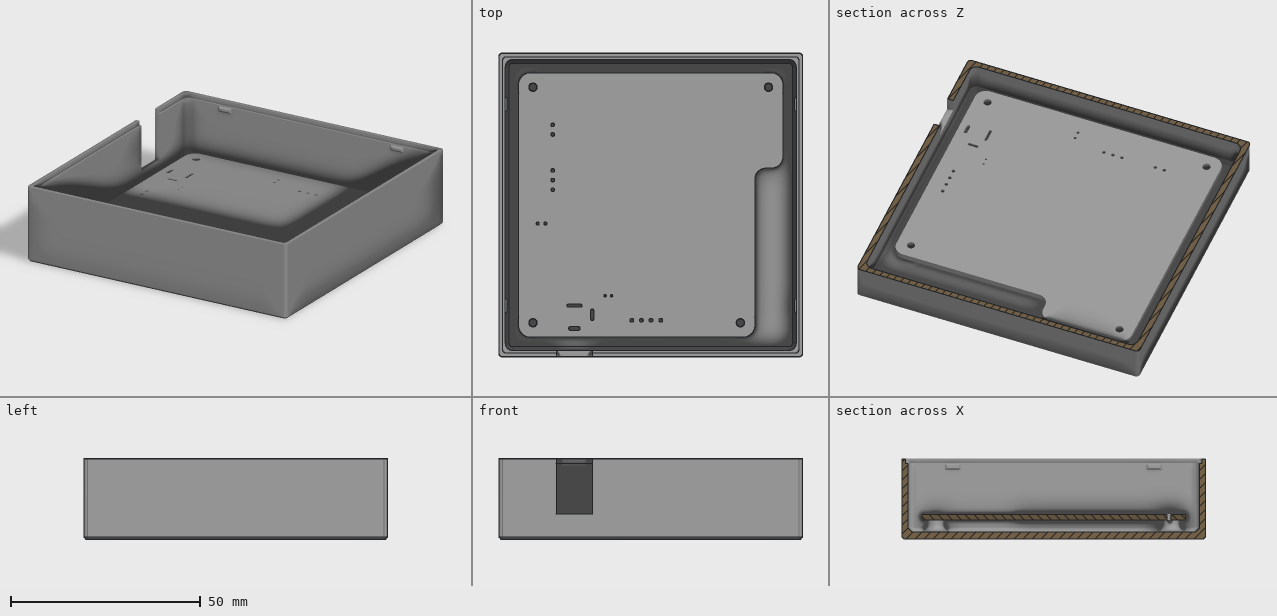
import cadquery as cq
SIZE = 80.0
HEIGHT = 21.2
CORNER_RADIUS = 1.0
BASE_CHAMFER = 0.6

WALL = 1.7
FLOOR = 2.0
CAVITY_RADIUS = 2.0
FLOOR_CHAMFER = 1.0

RIM = 1.0
RIM_DEPTH = 1.2
RIM_RADIUS = 1.0
LEDGE_Z = HEIGHT - RIM_DEPTH

PORT_X = -20.1
PORT_WIDTH = 9.5
PORT_Z = 6.7
PORT_CUT_DEPTH = 4.0

SNAP_LENGTH = 4.0
SNAP_HEIGHT = 1.6
SNAP_DEPTH = 0.5
SNAP_TAPER = 45
SNAP_Y = 26.5
SNAP_GAP = 0.2
SNAP_Z = LEDGE_Z - SNAP_GAP - SNAP_HEIGHT / 2

BOARD_Z = 5.0
BOARD_THICKNESS = 1.6
BOARD_HALF = 34.8
BOARD_RADIUS = 3.0
BOARD_STEP_X = 27.4
BOARD_STEP_Y = 9.7

MOUNT_HOLE_DIAMETER = 2.2
MOUNT_OFFSET = 31.0
MOUNT_STEP_X = 23.6
MOUNT_POINTS = [
    (-MOUNT_OFFSET, -MOUNT_OFFSET),
    (-MOUNT_OFFSET, MOUNT_OFFSET),
    (MOUNT_OFFSET, MOUNT_OFFSET),
    (MOUNT_STEP_X, -MOUNT_OFFSET),
]

STANDOFF_RADIUS = 2.0
STANDOFF_FLARE = 2.0
STANDOFF_ROOT = 0.5
PILOT_DIAMETER = 2.0

PITCH = 2.54
LEAD_ROWS = [
    ((-25.8, 21.1), (0, -PITCH), 2, 0.95),
    ((-25.8, 9.1), (0, -PITCH), 3, 0.95),
    ((-29.75, -4.9), (2.0, 0), 2, 0.8),
    ((-12.0, -23.9), (1.7, 0), 2, 0.6),
    ((-5.0, -30.35), (PITCH, 0), 4, 1.0),
]

TAB_SLOTS = [
    ((PORT_X, -26.5), 4.0, 0.8, 0),
    ((PORT_X, -32.5), 3.0, 1.0, 0),
    ((-15.4, -28.9), 3.0, 0.8, 90),
]


def square_block(side, bottom, height, radius):
    """Square block centred on Z with rounded vertical edges."""
    block = cq.Workplane("XY").workplane(offset=bottom)
    block = block.box(side, side, height, centered=(True, True, False))
    return block.edges("|Z").fillet(radius)


def make_shell():
    outside = square_block(SIZE, 0, HEIGHT, CORNER_RADIUS)
    outside = outside.faces("<Z").edges().chamfer(BASE_CHAMFER)
    cavity = square_block(SIZE - 2 * WALL, FLOOR, HEIGHT, CAVITY_RADIUS)
    cavity = cavity.faces("<Z").edges().chamfer(FLOOR_CHAMFER)
    rim_step = square_block(SIZE - 2 * RIM, LEDGE_Z, HEIGHT, RIM_RADIUS)
    return outside.cut(cavity).cut(rim_step)


def make_standoff(x, y):
    """Round post with a concave flare at its foot."""
    foot_radius = STANDOFF_RADIUS + STANDOFF_FLARE
    profile = (
        cq.Workplane("XZ")
        .moveTo(0, FLOOR - STANDOFF_ROOT)
        .lineTo(foot_radius, FLOOR - STANDOFF_ROOT)
        .lineTo(foot_radius, FLOOR)
        .radiusArc((STANDOFF_RADIUS, FLOOR + STANDOFF_FLARE), STANDOFF_FLARE)
        .lineTo(STANDOFF_RADIUS, BOARD_Z)
        .lineTo(0, BOARD_Z)
        .close()
    )
    return profile.revolve(360, (0, 0, 0), (0, 1, 0)).translate((x, y, 0))


def make_snap(side, y):
    """Tapered bump on the +X (side = 1) or -X (side = -1) wall."""
    plane = cq.Workplane("YZ").workplane(offset=side * (SIZE / 2 - WALL))
    outline = plane.center(y, SNAP_Z).rect(SNAP_LENGTH, SNAP_HEIGHT)
    return outline.extrude(-side * SNAP_DEPTH, taper=SNAP_TAPER)


def make_housing():
    body = make_shell()
    for x, y in MOUNT_POINTS:
        body = body.union(make_standoff(x, y))
    pilots = cq.Workplane("XY").workplane(offset=FLOOR).pushPoints(MOUNT_POINTS)
    body = body.cut(pilots.circle(PILOT_DIAMETER / 2).extrude(BOARD_Z - FLOOR))
    port = cq.Workplane("XY").box(PORT_WIDTH, PORT_CUT_DEPTH, HEIGHT, centered=(True, True, False))
    body = body.cut(port.translate((PORT_X, -SIZE / 2, PORT_Z)))
    for side in (-1, 1):
        for y in (-SNAP_Y, SNAP_Y):
            body = body.union(make_snap(side, y))
    return body


def board_plane():
    return cq.Workplane("XY").workplane(offset=BOARD_Z)


def make_board():
    outline = [
        (-BOARD_HALF, -BOARD_HALF),
        (BOARD_STEP_X, -BOARD_HALF),
        (BOARD_STEP_X, BOARD_STEP_Y),
        (BOARD_HALF, BOARD_STEP_Y),
        (BOARD_HALF, BOARD_HALF),
        (-BOARD_HALF, BOARD_HALF),
    ]
    board = board_plane().polyline(outline).close().extrude(BOARD_THICKNESS)
    board = board.edges("|Z").fillet(BOARD_RADIUS)

    mounts = board_plane().pushPoints(MOUNT_POINTS).circle(MOUNT_HOLE_DIAMETER / 2)
    board = board.cut(mounts.extrude(BOARD_THICKNESS))

    for (x, y), (step_x, step_y), count, diameter in LEAD_ROWS:
        points = [(x + i * step_x, y + i * step_y) for i in range(count)]
        leads = board_plane().pushPoints(points).circle(diameter / 2)
        board = board.cut(leads.extrude(BOARD_THICKNESS))

    for (x, y), length, width, angle in TAB_SLOTS:
        slot = board_plane().center(x, y).slot2D(length, width, angle)
        board = board.cut(slot.extrude(BOARD_THICKNESS))
    return board


housing = make_housing()
board = make_board()
result = cq.Compound.makeCompound([housing.val(), board.val()])